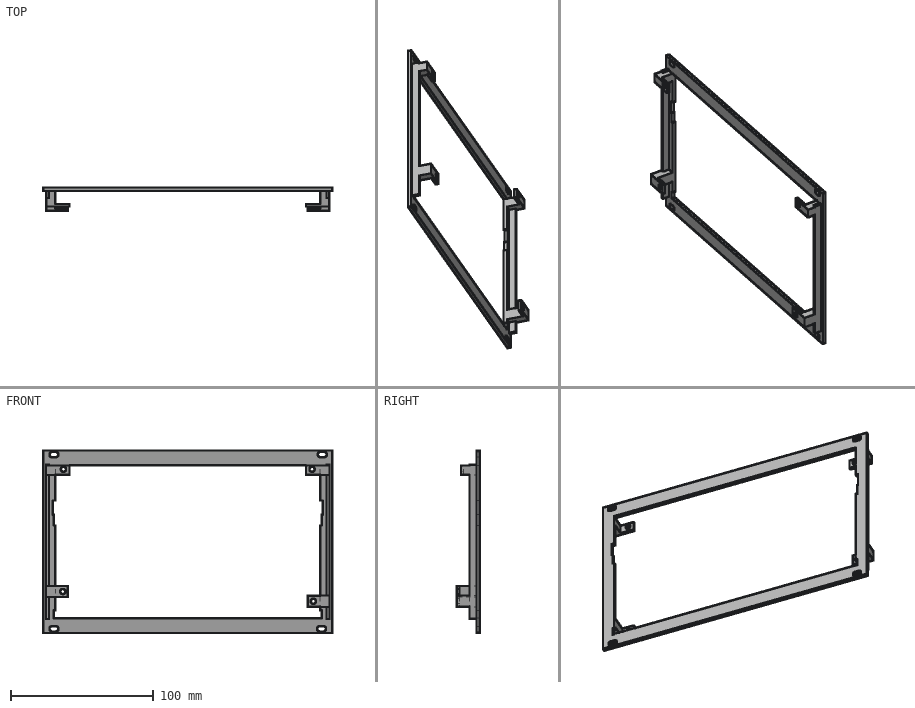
import cadquery as cq

PANEL_WIDTH = 203.0
PANEL_HEIGHT = 128.4
PANEL_THICKNESS = 2.5

TOP_BOTTOM_BORDER = 10.6
SIDE_BORDER = 8.5
RELIEF_BORDER = 7.4
NOTCH_BORDER = 6.8
LOWER_RELIEF_TOP = 16.0
MIDDLE_RELIEF_BOTTOM = 75.6
NOTCH_BOTTOM = 83.2
NOTCH_TOP = 93.0

SLOT_LENGTH = 6.2
SLOT_HEIGHT = 3.5
SLOT_EDGE_OFFSET = 3.0
LEFT_SLOT_INSET = 7.5
TOP_RIGHT_SLOT_INSET = 7.0
BOTTOM_RIGHT_SLOT_INSET = 7.5

RIB_INSET = 2.0
RIB_WIDTH = 2.0
RIB_DEPTH = 5.0
RIB_END_GAP = 10.0

ARM_THICKNESS = 2.0
BRACKET_HOLE_DIAMETER = 3.5
UPPER_REACH = 18.5
UPPER_FRONT = 13.5
UPPER_BRACKET_HEIGHT = 6.7
UPPER_BRACKET_BOTTOM = PANEL_HEIGHT - TOP_BOTTOM_BORDER - UPPER_BRACKET_HEIGHT
UPPER_HOLE_INSET = 14.2
UPPER_HOLE_RISE = 4.0
LOWER_REACH = 17.3
LOWER_FRONT = 16.5
LOWER_BRACKET_HEIGHT = 8.0
LOWER_HOLE_RISE = LOWER_BRACKET_HEIGHT / 2
LOWER_LEFT_BOTTOM = 25.2
LOWER_LEFT_HOLE_INSET = 13.8
LOWER_RIGHT_BOTTOM = 18.4
LOWER_RIGHT_HOLE_INSET = 13.3


def box(x_min, x_max, y_min, y_max, z_min, z_max):
    """Axis-aligned block between the given limits."""
    size = (x_max - x_min, y_max - y_min, z_max - z_min)
    return cq.Workplane("XY").box(*size, centered=False).translate((x_min, y_min, z_min))


def window_cut(border, z_min, z_max):
    """Opening through the panel that leaves the same border at both sides."""
    return box(border, PANEL_WIDTH - border, -PANEL_THICKNESS, 0, z_min, z_max)


def slot_cut(x, z):
    """Horizontal round-ended slot through the panel."""
    return (
        cq.Workplane("XZ")
        .center(x, z)
        .slot2D(SLOT_LENGTH, SLOT_HEIGHT)
        .extrude(PANEL_THICKNESS)
    )


def mirrored_to_right(left_part):
    """Mirror a left-hand part about the panel's vertical centre plane."""
    return left_part.mirror("YZ", (PANEL_WIDTH / 2, 0, 0))


def make_panel():
    panel = box(0, PANEL_WIDTH, -PANEL_THICKNESS, 0, 0, PANEL_HEIGHT)
    openings = (
        (SIDE_BORDER, TOP_BOTTOM_BORDER, PANEL_HEIGHT - TOP_BOTTOM_BORDER),
        (RELIEF_BORDER, TOP_BOTTOM_BORDER, LOWER_RELIEF_TOP),
        (RELIEF_BORDER, MIDDLE_RELIEF_BOTTOM, NOTCH_BOTTOM),
        (NOTCH_BORDER, NOTCH_BOTTOM, NOTCH_TOP),
    )
    for border, z_min, z_max in openings:
        panel = panel.cut(window_cut(border, z_min, z_max))
    slot_centres = (
        (LEFT_SLOT_INSET, SLOT_EDGE_OFFSET),
        (LEFT_SLOT_INSET, PANEL_HEIGHT - SLOT_EDGE_OFFSET),
        (PANEL_WIDTH - BOTTOM_RIGHT_SLOT_INSET, SLOT_EDGE_OFFSET),
        (PANEL_WIDTH - TOP_RIGHT_SLOT_INSET, PANEL_HEIGHT - SLOT_EDGE_OFFSET),
    )
    for x, z in slot_centres:
        panel = panel.cut(slot_cut(x, z))
    return panel


def make_left_rib():
    return box(
        RIB_INSET,
        RIB_INSET + RIB_WIDTH,
        -PANEL_THICKNESS - RIB_DEPTH,
        -PANEL_THICKNESS,
        RIB_END_GAP,
        PANEL_HEIGHT - RIB_END_GAP,
    )


def make_left_bracket(bottom, height, front, reach, hole_inset, hole_rise):
    """Post standing on the side border, with a drilled arm reaching into the window."""
    top = bottom + height
    post = box(RIB_INSET, SIDE_BORDER, -front, -PANEL_THICKNESS, bottom, top)
    arm = box(RIB_INSET, reach, -front, ARM_THICKNESS - front, bottom, top)
    hole = (
        cq.Workplane("XZ", origin=(hole_inset, 0, bottom + hole_rise))
        .circle(BRACKET_HOLE_DIAMETER / 2)
        .extrude(front)
    )
    return post.union(arm).cut(hole)


def make_upper_left_bracket():
    return make_left_bracket(
        UPPER_BRACKET_BOTTOM,
        UPPER_BRACKET_HEIGHT,
        UPPER_FRONT,
        UPPER_REACH,
        UPPER_HOLE_INSET,
        UPPER_HOLE_RISE,
    )


def make_lower_left_bracket(bottom, hole_inset):
    return make_left_bracket(
        bottom,
        LOWER_BRACKET_HEIGHT,
        LOWER_FRONT,
        LOWER_REACH,
        hole_inset,
        LOWER_HOLE_RISE,
    )


result = make_panel()
for left_part in (make_left_rib(), make_upper_left_bracket()):
    result = result.union(left_part).union(mirrored_to_right(left_part))

lower_left = make_lower_left_bracket(LOWER_LEFT_BOTTOM, LOWER_LEFT_HOLE_INSET)
lower_right = make_lower_left_bracket(LOWER_RIGHT_BOTTOM, LOWER_RIGHT_HOLE_INSET)
result = result.union(lower_left).union(mirrored_to_right(lower_right))